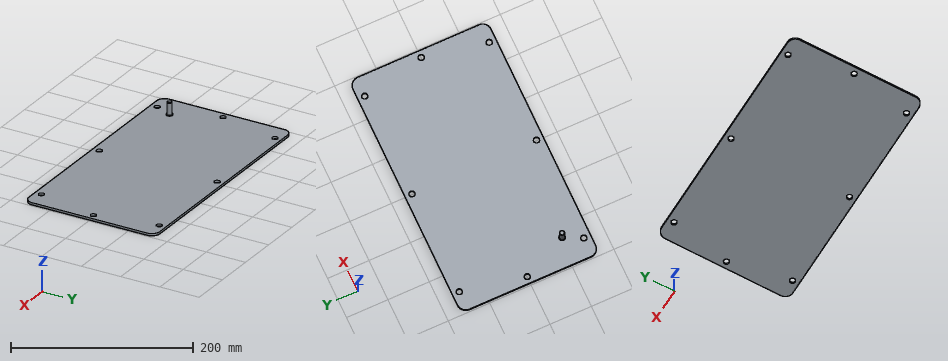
import cadquery as cq

plate_length = 296.0
plate_width = 167.0
plate_thickness = 3.0
corner_radius = 10.0

hole_diameter = 6.8
long_edge_hole_spacing = 125.0
long_edge_hole_y = 75.2
short_edge_hole_x = 140.0

total_height = 19.0
stud_x = -114.8
stud_y = -53.5
stud_diameter = 6.0
stud_tip_chamfer = 0.5
collar_diameter = 7.5
collar_height = 1.0


def make_plate():
    """Flat plate with rounded corners and a ring of through holes."""
    hole_centres = [(side * short_edge_hole_x, 0) for side in (-1, 1)]
    for side in (-1, 1):
        for step in (-1, 0, 1):
            hole_centres.append((step * long_edge_hole_spacing, side * long_edge_hole_y))
    return (
        cq.Workplane("XY")
        .rect(plate_length, plate_width)
        .extrude(plate_thickness)
        .edges("|Z")
        .fillet(corner_radius)
        .faces(">Z")
        .workplane()
        .pushPoints(hole_centres)
        .hole(hole_diameter)
    )


def make_post(diameter, top_z):
    """Cylinder at the stud position, from the plate's underside up to top_z."""
    return cq.Workplane("XY").center(stud_x, stud_y).circle(diameter / 2).extrude(top_z)


collar = make_post(collar_diameter, plate_thickness + collar_height)
stud = make_post(stud_diameter, total_height).faces(">Z").chamfer(stud_tip_chamfer)
result = make_plate().union(collar).union(stud)